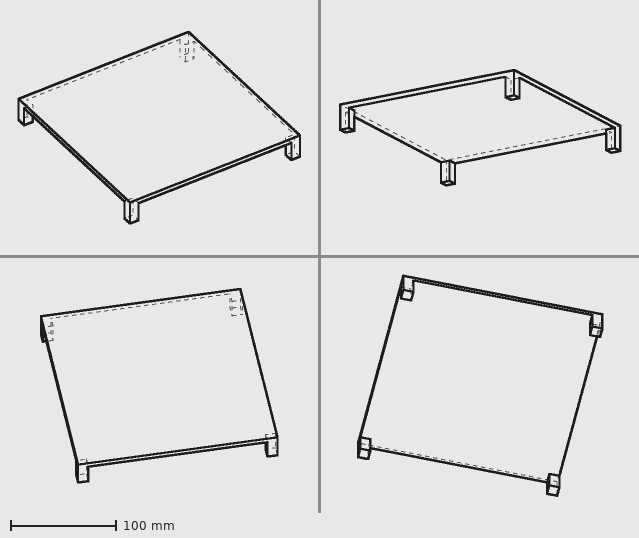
import cadquery as cq

length = 194.5
width = 193.2
height = 25.5
plate_thickness = 5.0
leg_side = 10.0

leg_height = height - plate_thickness

plate = (
    cq.Workplane("XY")
    .workplane(offset=leg_height)
    .rect(length, width)
    .extrude(plate_thickness)
)

legs = (
    cq.Workplane("XY")
    .rect(length - leg_side, width - leg_side, forConstruction=True)
    .vertices()
    .rect(leg_side, leg_side)
    .extrude(leg_height)
)

result = plate.union(legs)